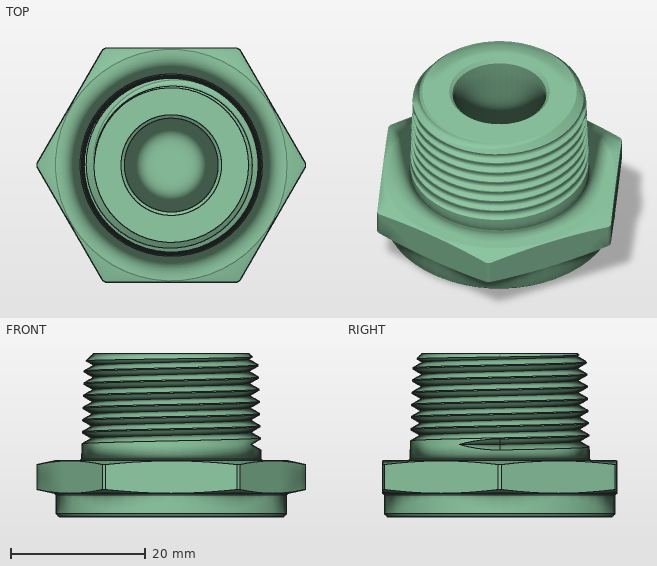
import cadquery as cq
import math

TOTAL_HEIGHT = 24.38
HEX_BOTTOM = 3.48
HEX_TOP = 8.4

FLANGE_RADIUS = 17.2
FLANGE_CHAMFER = 0.5

HEX_SIDES = 6
HEX_ACROSS_FLATS = 34.925
HEX_TURNED_RADIUS = 20.01
HEX_BEVEL_INNER_RADIUS = 17.25
HEX_BEVEL_DROP = 0.6

CORNER_BEVEL = 0.2

SPIGOT_BASE_RADIUS = 13.39
TAPER = 1 / 32
SPIGOT_HEIGHT = TOTAL_HEIGHT - HEX_TOP
SPIGOT_TOP_RADIUS = SPIGOT_BASE_RADIUS - SPIGOT_HEIGHT * TAPER
SPIGOT_CHAMFER = 1.37

PITCH = 25.4 / 14
GROOVE_DEPTH = 1.43
GROOVE_OVERCUT = 0.12
GROOVE_START_HEIGHT = 10.8
GROOVE_TURNS = 8
FLANK_ANGLE = 30
RUNOUT_OVERLAP = 0.05

BORE_RADIUS = 7.0
BORE_CHAMFER = 0.5
WINDOW_THICKNESS = HEX_TOP


def spigot_radius(z):
    """Outside radius of the tapered spigot at height z."""
    return SPIGOT_BASE_RADIUS - (z - HEX_TOP) * TAPER


def disc(radius, bottom, top):
    return cq.Workplane("XY").workplane(offset=bottom).circle(radius).extrude(top - bottom)


def make_hexagon():
    corner_distance = HEX_ACROSS_FLATS / math.cos(math.pi / HEX_SIDES)
    prism = (
        cq.Workplane("XY")
        .workplane(offset=HEX_BOTTOM)
        .polygon(HEX_SIDES, corner_distance)
        .extrude(HEX_TOP - HEX_BOTTOM)
    )
    turned_outline = [
        (0, HEX_BOTTOM),
        (HEX_BEVEL_INNER_RADIUS, HEX_BOTTOM),
        (HEX_TURNED_RADIUS, HEX_BOTTOM + HEX_BEVEL_DROP),
        (HEX_TURNED_RADIUS, HEX_TOP - HEX_BEVEL_DROP),
        (HEX_BEVEL_INNER_RADIUS, HEX_TOP),
        (0, HEX_TOP),
    ]
    turned_blank = cq.Workplane("XZ").polyline(turned_outline).close().revolve(360, (0, 0), (0, 1))
    return prism.intersect(turned_blank)


def make_flange():
    outline = [
        (0, 0),
        (FLANGE_RADIUS - FLANGE_CHAMFER, 0),
        (FLANGE_RADIUS, FLANGE_CHAMFER),
        (FLANGE_RADIUS, HEX_BOTTOM - CORNER_BEVEL),
        (FLANGE_RADIUS + CORNER_BEVEL, HEX_BOTTOM),
        (0, HEX_BOTTOM),
    ]
    return cq.Workplane("XZ").polyline(outline).close().revolve(360, (0, 0), (0, 1))


def make_spigot():
    bevel_top = HEX_TOP + CORNER_BEVEL
    chamfer_bottom = TOTAL_HEIGHT - SPIGOT_CHAMFER
    outline = [
        (0, HEX_TOP),
        (spigot_radius(bevel_top) + CORNER_BEVEL, HEX_TOP),
        (spigot_radius(bevel_top), bevel_top),
        (spigot_radius(chamfer_bottom), chamfer_bottom),
        (SPIGOT_TOP_RADIUS - SPIGOT_CHAMFER, TOTAL_HEIGHT),
        (0, TOTAL_HEIGHT),
    ]
    return cq.Workplane("XZ").polyline(outline).close().revolve(360, (0, 0), (0, 1))


def groove_section(surface_radius, height):
    """V section of the thread groove on the +X side, in the XZ plane."""
    root_radius = surface_radius - GROOVE_DEPTH
    mouth_radius = surface_radius + GROOVE_OVERCUT
    mouth_half_width = (mouth_radius - root_radius) * math.tan(math.radians(FLANK_ANGLE))
    outline = [
        (root_radius, height),
        (mouth_radius, height - mouth_half_width),
        (mouth_radius, height + mouth_half_width),
    ]
    return cq.Workplane("XZ").polyline(outline).close()


def make_helical_groove():
    """Cutter for a right-handed thread, from its foot at +X out past the top face.

    It is wound upside down, from the narrow end at the origin up a widening cone, and
    then turned over about X. A whole number of turns brings its foot to the +X side.
    """
    rise = GROOVE_TURNS * PITCH
    narrow_radius = spigot_radius(GROOVE_START_HEIGHT + rise)
    helix = cq.Wire.makeHelix(PITCH, rise, narrow_radius, angle=math.degrees(math.atan(TAPER)))
    return (
        groove_section(narrow_radius, 0)
        .sweep(cq.Workplane(helix), isFrenet=True)
        .rotate((0, 0, 0), (1, 0, 0), 180)
        .translate((0, 0, GROOVE_START_HEIGHT + rise))
    )


def make_groove_runout():
    """Straight cutter that carries the foot of the groove toward -Y, out of the spigot."""
    foot_radius = spigot_radius(GROOVE_START_HEIGHT)
    section = groove_section(foot_radius, GROOVE_START_HEIGHT)
    return section.extrude(foot_radius).translate((0, RUNOUT_OVERLAP, 0))


def make_bore():
    bore = disc(BORE_RADIUS, 0, TOTAL_HEIGHT)
    countersink = cq.Workplane(
        cq.Solid.makeCone(
            BORE_RADIUS,
            BORE_RADIUS + BORE_CHAMFER,
            BORE_CHAMFER,
            pnt=cq.Vector(0, 0, TOTAL_HEIGHT - BORE_CHAMFER),
        )
    )
    return bore.union(countersink)


def make_fitting():
    threaded_spigot = make_spigot().cut(make_helical_groove()).cut(make_groove_runout())
    return make_hexagon().union(make_flange()).union(threaded_spigot).cut(make_bore())


def make_window():
    return disc(BORE_RADIUS, 0, WINDOW_THICKNESS)


fitting = make_fitting()
window = make_window()

result = cq.Compound.makeCompound([fitting.solids().val(), window.val()])